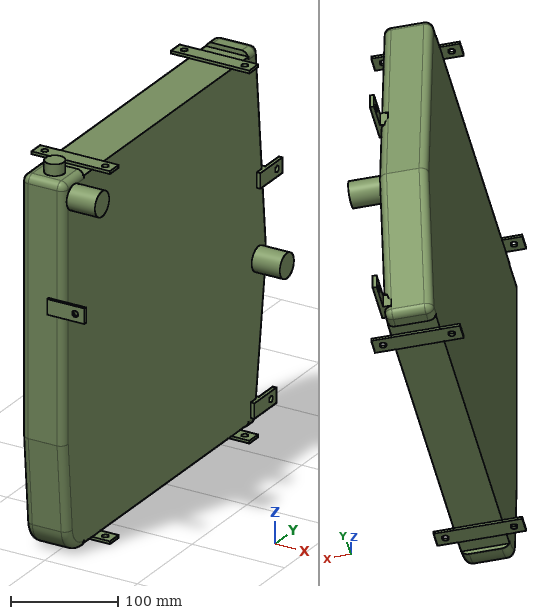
import cadquery as cq


overall_length = 395.0
thickness = 46.5
half_thickness = thickness / 2
tank_height = 388.0
core_start = 37.0
core_length = 300.0
core_end = core_start + core_length
core_height = 378.0
core_inset = (tank_height - core_height) / 2
tank_fillet = 7.5

taper_height = 118.0
taper_inset = 9.5
front_bottom_radius = 29.0

apex_y = 375.0
apex_height = 167.5
rear_top_y = 355.0
rear_bottom_y = 353.0

pipe_diameter = 26.0
pipe_end_x = 53.5
front_pipe_y = 18.5
front_pipe_z = 368.5
rear_pipe_y = 355.5
neck_diameter = 20.0
neck_x = 1.0
neck_y = 21.0
neck_top = 400.0

bar_width = 16.0
hole_diameter = 6.5
strap_length = 85.0
strap_thickness = 3.0
strap_hole_spacing = 65.5
strap_offset = 127.0
bracket_length = 40.5
bracket_hole_inset = 10.0
front_bracket_thickness = 3.0
front_bracket_end_x = 47.0
front_bracket_z = 260.0
side_bracket_thickness = 4.0
side_brackets = [(overall_length - front_bracket_thickness, 250.0), (381.0, 17.5)]


def extrude_outline(outline):
    """Extrude a closed YZ outline symmetrically through the thickness."""
    return outline.close().extrude(half_thickness, both=True)


def make_front_tank():
    tank = extrude_outline(
        cq.Workplane("YZ")
        .moveTo(core_start, 0)
        .lineTo(taper_inset, 0)
        .lineTo(0, taper_height)
        .lineTo(0, tank_height)
        .lineTo(core_start, tank_height)
    )
    bottom_corner = cq.selectors.NearestToPointSelector((0, taper_inset, 0))
    tank = tank.edges(bottom_corner).fillet(front_bottom_radius)
    return tank.edges("(<X or >X or (|X and >Z)) except >Y").fillet(tank_fillet)


def make_rear_tank():
    tank = extrude_outline(
        cq.Workplane("YZ")
        .moveTo(core_end, 0)
        .lineTo(rear_bottom_y, 0)
        .lineTo(apex_y, apex_height)
        .lineTo(rear_top_y, tank_height)
        .lineTo(core_end, tank_height)
    )
    return tank.edges("(<X or >X or (|X and >Z) or (|X and <Z)) except <Y").fillet(tank_fillet)


def make_core():
    return (
        cq.Workplane("XY", origin=(0, core_start, core_inset))
        .box(thickness, core_length, core_height, centered=(True, False, False))
    )


def make_pipe(y, z):
    """Hose pipe along +X, rooted at mid-thickness of a tank."""
    return cq.Workplane("YZ").center(y, z).circle(pipe_diameter / 2).extrude(pipe_end_x)


def make_filler_neck():
    neck_root = tank_height - tank_fillet
    return (
        cq.Workplane("XY", origin=(neck_x, neck_y, neck_root))
        .circle(neck_diameter / 2)
        .extrude(neck_top - neck_root)
    )


def make_strap(y, base_z):
    """Flat strap across the core with a hole near each end."""
    return (
        cq.Workplane("XY", origin=(0, y, base_z))
        .rect(strap_length, bar_width)
        .pushPoints([(-strap_hole_spacing / 2, 0), (strap_hole_spacing / 2, 0)])
        .circle(hole_diameter / 2)
        .extrude(strap_thickness)
    )


def bracket_profile(workplane):
    """Bracket outline with its outer end at the local origin, reaching back along local -X."""
    return (
        workplane
        .center(-bracket_length / 2, 0)
        .rect(bracket_length, bar_width)
        .center(bracket_length / 2 - bracket_hole_inset, 0)
        .circle(hole_diameter / 2)
    )


def make_front_bracket():
    outer_end = (front_bracket_end_x, 0, front_bracket_z)
    return bracket_profile(cq.Workplane("XZ", origin=outer_end)).extrude(front_bracket_thickness)


def rear_face_y(z):
    """Y of the rear tank's sloped outer face at height z."""
    if z > apex_height:
        return apex_y + (rear_top_y - apex_y) * (z - apex_height) / (tank_height - apex_height)
    return rear_bottom_y + (apex_y - rear_bottom_y) * z / apex_height


def make_side_bracket(end_y, z):
    """Bracket on the +X side, with a pad that fills the gap over the tank's rounded edge."""
    outer_end = (half_thickness, end_y, z)
    plate = bracket_profile(cq.Workplane("YZ", origin=outer_end)).extrude(side_bracket_thickness)
    pad_start = end_y - bracket_length
    pad_length = rear_face_y(z) - pad_start
    pad = (
        cq.Workplane("YZ", origin=(half_thickness, pad_start + pad_length / 2, z))
        .rect(pad_length, bar_width)
        .extrude(-tank_fillet)
    )
    return plate.union(pad)


result = make_core().union(make_front_tank()).union(make_rear_tank())
result = result.union(make_pipe(front_pipe_y, front_pipe_z))
result = result.union(make_pipe(rear_pipe_y, apex_height))
result = result.union(make_filler_neck())

core_middle_y = core_start + core_length / 2
for strap_y in (core_middle_y - strap_offset, core_middle_y + strap_offset):
    for strap_base_z in (core_inset - strap_thickness, core_inset + core_height):
        result = result.union(make_strap(strap_y, strap_base_z))

result = result.union(make_front_bracket())
for bracket_end_y, bracket_z in side_brackets:
    result = result.union(make_side_bracket(bracket_end_y, bracket_z))